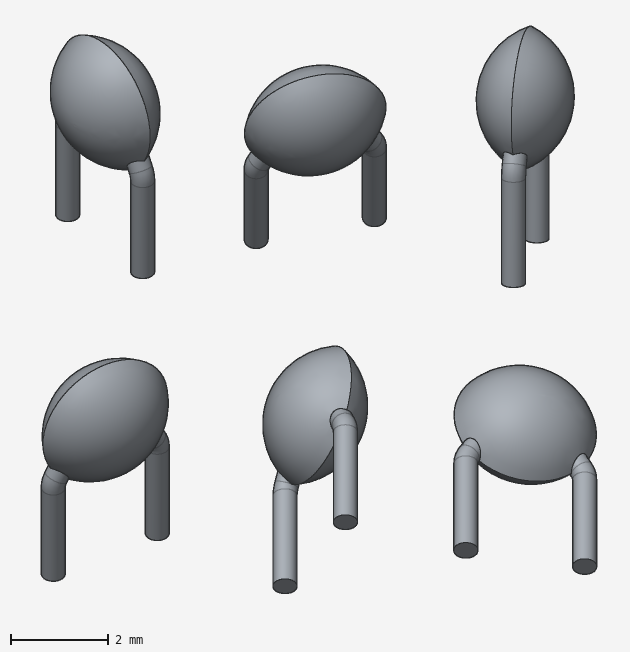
import cadquery as cq
import math

body_diameter = 3.0
body_thickness = 2.0
overall_height = 5.1
body_center_z = overall_height - body_diameter / 2

lead_diameter = 0.5
lead_spacing = body_diameter - lead_diameter
straight_length = 2.335
bend_radius = 0.5
bend_angle = 30.0
end_length = 0.41


def make_body():
    """Revolve half of a two-arc lens section about the Y axis."""
    rim_radius = body_diameter / 2
    half_thickness = body_thickness / 2
    face_radius = (rim_radius**2 + half_thickness**2) / (2 * half_thickness)
    half_angle = math.asin(rim_radius / face_radius) / 2
    mid_x = face_radius * math.sin(half_angle)
    mid_y = half_thickness - face_radius * (1 - math.cos(half_angle))
    return (
        cq.Workplane("XY")
        .moveTo(0, -half_thickness)
        .threePointArc((mid_x, -mid_y), (rim_radius, 0))
        .threePointArc((mid_x, mid_y), (0, half_thickness))
        .close()
        .revolve(360, (0, 0, 0), (0, 1, 0))
        .translate((0, 0, body_center_z))
    )


def make_left_lead():
    """Sweep a round wire up, around the inward bend and into the body."""
    start_x = -lead_spacing / 2
    angle = math.radians(bend_angle)

    def bend_point(turn):
        return (
            start_x + bend_radius * (1 - math.cos(turn)),
            straight_length + bend_radius * math.sin(turn),
        )

    bend_end = bend_point(angle)
    lead_end = (
        bend_end[0] + end_length * math.sin(angle),
        bend_end[1] + end_length * math.cos(angle),
    )
    path = (
        cq.Workplane("XZ")
        .moveTo(start_x, 0)
        .lineTo(start_x, straight_length)
        .threePointArc(bend_point(angle / 2), bend_end)
        .lineTo(*lead_end)
    )
    return cq.Workplane("XY").center(start_x, 0).circle(lead_diameter / 2).sweep(path)


left_lead = make_left_lead()
right_lead = left_lead.mirror("YZ")
result = make_body().union(left_lead).union(right_lead)